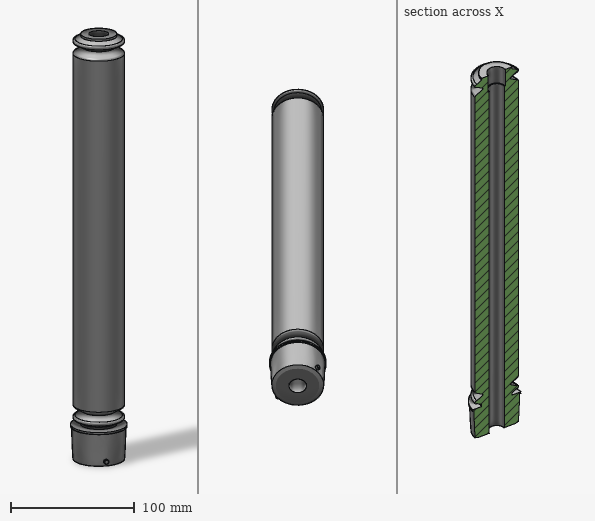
import cadquery as cq

total_height = 361.5
base_height = 30.5

barrel_radius = 21.0
stub_radius = 14.65
neck_radius = 13.0
stub_height = 1.8
cone_outer_radius = 19.0
flange_cone_height = 2.5
flange_rim_height = 3.3
neck_cone_height = 3.5
barrel_round_height = 1.8
flange_rim_top = stub_height + flange_cone_height
flange_rim_middle = flange_rim_top + flange_rim_height / 2
flange_rim_bottom = flange_rim_top + flange_rim_height
neck_depth = flange_rim_bottom + neck_cone_height
barrel_cone_end = neck_depth + neck_cone_height
joint_height = barrel_cone_end + barrel_round_height
barrel_round_bulge = 0.7
barrel_round_mid_radius = cone_outer_radius + barrel_round_bulge * (barrel_radius - cone_outer_radius)

cup_rim_radius = 22.95
cup_rim_height = 1.8
cup_top_radius = 22.0
cup_mid_radius = 21.5
cup_mid_height = 14.5
cup_foot_radius = 21.0
cup_foot_chamfer_height = 1.0
cup_bottom_radius = 17.52

bore_radius = 7.05
mouth_radius = 8.0
mouth_depth = joint_height

pin_radius = 2.0
pin_span = 46.3
pin_height = 5.0
pin_tip_chamfer = 0.5


def make_joint(end_height, direction):
    """Solid joint from its stub end inward to the barrel."""

    def point(radius, depth):
        return radius, end_height + direction * depth

    return (
        cq.Workplane("XZ")
        .moveTo(*point(0, 0))
        .lineTo(*point(stub_radius, 0))
        .lineTo(*point(stub_radius, stub_height))
        .lineTo(*point(cone_outer_radius, flange_rim_top))
        .threePointArc(
            point(barrel_radius, flange_rim_middle),
            point(cone_outer_radius, flange_rim_bottom),
        )
        .lineTo(*point(neck_radius, neck_depth))
        .lineTo(*point(cone_outer_radius, barrel_cone_end))
        .threePointArc(
            point(barrel_round_mid_radius, barrel_cone_end + barrel_round_height / 2),
            point(barrel_radius, joint_height),
        )
        .lineTo(*point(0, joint_height))
        .close()
        .revolve(360, (0, 0), (0, 1))
    )


def make_barrel():
    """Plain cylinder between the two joints."""
    barrel_bottom = base_height + joint_height
    barrel_length = total_height - joint_height - barrel_bottom
    return (
        cq.Workplane("XY")
        .workplane(offset=barrel_bottom)
        .circle(barrel_radius)
        .extrude(barrel_length)
    )


def make_cup():
    """Tapered base cup with a thin rim at its top and a chamfered foot."""
    rim_bottom = base_height - cup_rim_height
    return (
        cq.Workplane("XZ")
        .moveTo(0, 0)
        .lineTo(cup_bottom_radius, 0)
        .lineTo(cup_foot_radius, cup_foot_chamfer_height)
        .threePointArc((cup_mid_radius, cup_mid_height), (cup_top_radius, rim_bottom))
        .lineTo(cup_rim_radius, rim_bottom)
        .lineTo(cup_rim_radius, base_height)
        .lineTo(0, base_height)
        .close()
        .revolve(360, (0, 0), (0, 1))
    )


def make_pins():
    """One straight pin through the cup, with both tips chamfered."""
    return (
        cq.Workplane("YZ")
        .center(0, pin_height)
        .circle(pin_radius)
        .extrude(pin_span / 2, both=True)
        .faces("<X or >X")
        .chamfer(pin_tip_chamfer)
    )


def make_bore():
    """Full-length bore, widened at the top."""
    bore = cq.Workplane("XY").circle(bore_radius).extrude(total_height)
    mouth = (
        cq.Workplane("XY")
        .workplane(offset=total_height - mouth_depth)
        .circle(mouth_radius)
        .extrude(mouth_depth)
    )
    return bore.union(mouth)


lower_joint = make_joint(base_height, 1)
upper_joint = make_joint(total_height, -1)
body = make_cup().union(lower_joint).union(make_barrel()).union(upper_joint)
result = body.union(make_pins()).cut(make_bore())